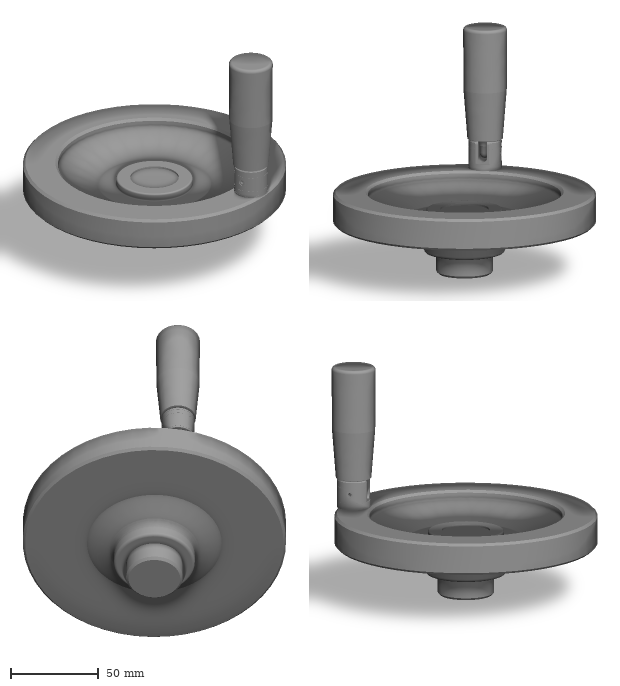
import cadquery as cq
import math

wheel_dia = 150.0
rim_top = 47.5
rim_bottom = 29.0
rim_chamfer = 1.4

foot_dia = 32.2
foot_chamfer = 1.4
hub_dia = 46.0
hub_bottom = 12.3
hub_fillet = 1.7
hub_radius = hub_dia / 2
underside_start_radius = 38.4
underside_angle = 24.0
underside_drop = (underside_start_radius - hub_radius) * math.tan(math.radians(underside_angle))
hub_top = rim_bottom - underside_drop
underside_fillet = 4.0

mouth_dia = 110.2
mouth_chamfer = 1.4
mouth_fillet = 1.5
dish_top = 42.5
dish_floor = 33.3
dish_floor_radius = 32.2
dish_floor_fillet = 1.8

boss_dia = 43.5
boss_top = 37.6
boss_edge_fillet = 0.9
boss_base_fillet = 0.6
recess_dia = 27.6
recess_depth = 1.0

handle_x = 66.0

grip_dia = 25.0
grip_waist_dia = 24.7
grip_bottom_dia = 20.3
grip_top = 129.5
grip_waist = 93.2
grip_bottom = 64.6
grip_top_fillet = 1.8

post_dia = 19.0
post_body_dia = 18.9
post_top = 64.0
post_chamfer = 0.6
cap_bottom = 62.2
bead_bottom = 59.2
bead_height = 0.6
collar_top = 51.3
base_groove_bottom = 48.2
base_groove_height = 0.5

flat_depth = 0.9
flat_rounding_height = 1.7
flat_rounding_depth = 0.8
slot_width = 5.2
slot_bottom = 52.2

neck_dia = 8.3
neck_bottom = 60.6
rod_dia = 6.5
pivot_z = 56.3
pivot_hole_dia = 2.0
pivot_counterbore_dia = 3.8
pivot_counterbore_depth = 0.5


def disc(dia, bottom, top):
    """Upright cylinder on the handle axis."""
    return cq.Workplane("XY", origin=(handle_x, 0, bottom)).circle(dia / 2).extrude(top - bottom)


def wheel_blank():
    """Foot, hub, dished web and rim as one revolved outline, without rounded edges."""
    outline = [
        (0, 0),
        (foot_dia / 2, 0),
        (foot_dia / 2, hub_bottom),
        (hub_radius, hub_bottom),
        (hub_radius, hub_top),
        (underside_start_radius, rim_bottom),
        (wheel_dia / 2, rim_bottom),
        (wheel_dia / 2, rim_top),
        (mouth_dia / 2, rim_top),
        (mouth_dia / 2, dish_top),
        (dish_floor_radius, dish_floor),
        (boss_dia / 2, dish_floor),
        (boss_dia / 2, boss_top),
        (0, boss_top),
    ]
    return cq.Workplane("XZ").polyline(outline).close().revolve(360, (0, 0, 0), (0, 1, 0))


def ring_edge(radius, height):
    """Selector for the circular edge about the Z axis at this radius and height."""

    def edges_within(limit):
        low = (-limit, -limit, height - tolerance)
        high = (limit, limit, height + tolerance)
        return cq.selectors.BoxSelector(low, high, boundingbox=True)

    tolerance = 0.08
    return edges_within(radius + tolerance) - edges_within(radius - tolerance)


def build_wheel():
    wheel = wheel_blank()
    for radius, height, size in [
        (foot_dia / 2, 0, foot_chamfer),
        (wheel_dia / 2, rim_bottom, rim_chamfer),
        (wheel_dia / 2, rim_top, rim_chamfer),
        (mouth_dia / 2, rim_top, mouth_chamfer),
    ]:
        wheel = wheel.edges(ring_edge(radius, height)).chamfer(size)
    for radius, height, size in [
        (hub_radius, hub_bottom, hub_fillet),
        (hub_radius, hub_top, underside_fillet),
        (mouth_dia / 2, dish_top, mouth_fillet),
        (dish_floor_radius, dish_floor, dish_floor_fillet),
        (boss_dia / 2, dish_floor, boss_base_fillet),
        (boss_dia / 2, boss_top, boss_edge_fillet),
    ]:
        wheel = wheel.edges(ring_edge(radius, height)).fillet(size)

    recess = (
        cq.Workplane("XY", origin=(0, 0, boss_top - recess_depth))
        .circle(recess_dia / 2)
        .extrude(recess_depth)
    )
    return wheel.cut(recess)


def build_grip():
    """Tapered hand grip, rounded at the top."""
    outline = [
        (0, grip_bottom),
        (grip_bottom_dia / 2, grip_bottom),
        (grip_waist_dia / 2, grip_waist),
        (grip_dia / 2, grip_top),
        (0, grip_top),
    ]
    grip = cq.Workplane("XZ").polyline(outline).close().revolve(360, (0, 0, 0), (0, 1, 0))
    grip = grip.faces(">Z").edges().fillet(grip_top_fillet)
    return grip.translate((handle_x, 0, 0))


def build_post():
    """Post with base rings, bead and cap, and a slot open to the top in a flat on its -X side."""
    base_groove_top = base_groove_bottom + base_groove_height
    post = disc(post_body_dia, rim_top, cap_bottom)
    post = post.union(disc(post_dia, rim_top, base_groove_bottom))
    post = post.union(disc(post_dia, base_groove_top, collar_top))
    post = post.union(disc(post_dia, bead_bottom, bead_bottom + bead_height))
    post = post.union(disc(post_dia, cap_bottom, post_top).faces(">Z").edges().chamfer(post_chamfer))

    outer_x = handle_x - post_dia / 2
    flat_x = outer_x + flat_depth
    flat = (
        cq.Workplane("XZ")
        .moveTo(outer_x, collar_top)
        .lineTo(flat_x, collar_top)
        .lineTo(flat_x, post_top - flat_rounding_height)
        .tangentArcPoint((flat_x + flat_rounding_depth, post_top), relative=False)
        .lineTo(outer_x, post_top)
        .close()
        .extrude(post_dia / 2, both=True)
    )

    slot_arc_z = slot_bottom + slot_width / 2
    slot = (
        cq.Workplane("YZ", origin=(outer_x, 0, 0))
        .moveTo(-slot_width / 2, post_top)
        .lineTo(-slot_width / 2, slot_arc_z)
        .threePointArc((0, slot_bottom), (slot_width / 2, slot_arc_z))
        .lineTo(slot_width / 2, post_top)
        .close()
        .extrude(post_dia / 2)
    )
    return post.cut(flat).cut(slot)


def build_rod():
    """Neck below the grip and the ball-ended rod that reaches down into the slot."""
    neck = disc(neck_dia, neck_bottom, grip_bottom)
    rod = disc(rod_dia, pivot_z, neck_bottom)
    ball = cq.Workplane("XY", origin=(handle_x, 0, pivot_z)).sphere(rod_dia / 2)
    return neck.union(rod).union(ball)


def pivot_hole():
    """Cross hole along Y through the post, counterbored at both ends."""
    start = cq.Workplane("XZ", origin=(handle_x, 0, pivot_z))
    hole = start.circle(pivot_hole_dia / 2).extrude(post_dia / 2, both=True)
    floor_y = post_body_dia / 2 - pivot_counterbore_depth
    for side in (-1, 1):
        counterbore = (
            start.workplane(offset=side * floor_y)
            .circle(pivot_counterbore_dia / 2)
            .extrude(side * post_dia / 2)
        )
        hole = hole.union(counterbore)
    return hole


def build_handle():
    handle = build_post().union(build_rod()).union(build_grip())
    return handle.cut(pivot_hole())


wheel = build_wheel()
handle = build_handle()

result = cq.Compound.makeCompound([wheel.val(), handle.val()])